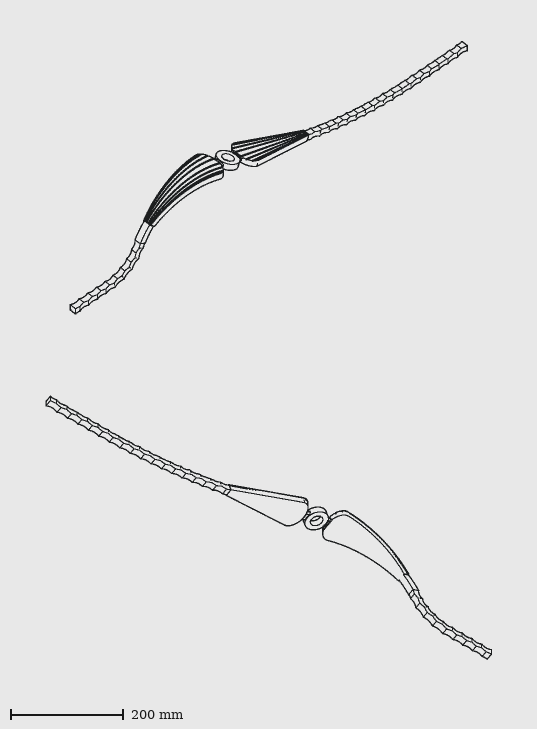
import cadquery as cq
import math

WIDTH = 63.8
LENGTH = 950.0
HEIGHT = 150.0
BAR = 14.0

RISE = HEIGHT - BAR
BACK_FLAT = 116.5
BACK_BEND_RADIUS = 830.0
SLOPE = math.radians(20.4)
CREST_RADIUS = 146.0
FOOT_RADIUS = 80.0
DESCENT = math.acos(1 - RISE / (CREST_RADIUS + FOOT_RADIUS))
SLOPE_LENGTH = (
    RISE - (BACK_BEND_RADIUS + CREST_RADIUS) * (1 - math.cos(SLOPE))
) / math.sin(SLOPE)
FRONT_FLAT = (
    LENGTH
    - BACK_FLAT
    - (BACK_BEND_RADIUS + CREST_RADIUS) * math.sin(SLOPE)
    - SLOPE_LENGTH * math.cos(SLOPE)
    - (CREST_RADIUS + FOOT_RADIUS) * math.sin(DESCENT)
)
CENTRELINE = [
    (BACK_FLAT, 0),
    (BACK_BEND_RADIUS * SLOPE, 1 / BACK_BEND_RADIUS),
    (SLOPE_LENGTH, 0),
    (CREST_RADIUS * (SLOPE + DESCENT), -1 / CREST_RADIUS),
    (FOOT_RADIUS * DESCENT, 1 / FOOT_RADIUS),
    (FRONT_FLAT, 0),
]
TOTAL_LENGTH = sum(length for length, _ in CENTRELINE)
SLOPE_START = BACK_FLAT + BACK_BEND_RADIUS * SLOPE

DENT_DEPTH = 1.6
BACK_TOP_PITCH = 18.1
BACK_PITCH = 22.4
FRONT_PITCH = 21.0
FIRST_CREST = 13.0
DENT_CUTTER_COVER = 1.0

RING_AT = SLOPE_START + 181.5
RING_DIAMETER = 44.0
RING_HOLE = 23.0
RING_THICKNESS = 13.0
NECK_WIDTH = 20.0
NECK_THICKNESS = 10.0
NECK_CHAMFER = 3.5
NECK_SINK = 8.0

LEAF_GAP = 26.0
BACK_LEAF_LENGTH = 176.0
BACK_LEAF_HALF = 30.0
BACK_BASE_ROUND = 23.0
FRONT_LEAF_LENGTH = 180.0
FRONT_LEAF_HALF = WIDTH / 2
FRONT_BASE_ROUND = 23.0
BACK_TIP_HALF = 7.5
FRONT_TIP_HALF = 9.0
GROOVE_SHARES = [0.22, 0.56, 0.85]
GROOVE_HALF_SHARE = 0.03
GROOVE_DEPTH = 2.0
EDGE_SHARE = 0.06
EDGE_DROP = 0.7
LEAF_STATIONS = 9
TIP_OVERRUN = 14.0

JOINT_OVERLAP = 0.5
SMOOTH_LENGTH = 37.0


def centreline_at(distance):
    """Y, Z and rise angle of the centreline at a distance from the back end."""
    y, z, angle = LENGTH / 2, BAR / 2, 0.0
    left = distance
    for length, curvature in CENTRELINE:
        step = min(left, length)
        if curvature:
            turned = angle + step * curvature
            y -= (math.sin(turned) - math.sin(angle)) / curvature
            z -= (math.cos(turned) - math.cos(angle)) / curvature
            angle = turned
        else:
            y -= step * math.cos(angle)
            z += step * math.sin(angle)
        left -= step
    return y, z, angle


def offset_point(distance, offset):
    """(Y, Z) at an offset along the upward normal of the centreline."""
    y, z, angle = centreline_at(distance)
    return y + offset * math.sin(angle), z + offset * math.cos(angle)


def face_frame_at(distance):
    """Plane along the bar: local X is world X, local Z is the upward normal."""
    y, z, angle = centreline_at(distance)
    return cq.Plane((0, y, z), (1, 0, 0), (0, math.sin(angle), math.cos(angle)))


def section_frame_at(distance):
    """Plane across the bar: local X is world X, local Y is the upward normal."""
    y, z, angle = centreline_at(distance)
    return cq.Plane((0, y, z), (1, 0, 0), (0, -math.cos(angle), math.sin(angle)))


def crests(start, end, first, pitch):
    """Distances of the dent crests, including both ends of the dented length."""
    count = int((end - first) // pitch) + 1
    inner = [first + index * pitch for index in range(count)]
    return [start] + inner + [end]


def dent_depth(span, pitch):
    """Sagitta of a dent shorter than the pitch, cut with the same radius."""
    return DENT_DEPTH * (span / pitch) ** 2


def dented_edge(outline, marks, pitch, side):
    """Continue a YZ outline through the dents of the top (1) or bottom (-1) face."""
    for here, there in zip(marks, marks[1:]):
        depth = dent_depth(abs(there - here), pitch)
        middle = offset_point((here + there) / 2, side * (BAR / 2 - depth))
        outline = outline.threePointArc(middle, offset_point(there, side * BAR / 2))
    return outline


def side_dents(marks, pitch, side):
    """Lens-shaped cutters for the dents of the +X (1) or -X (-1) face."""
    cutters = []
    for here, there in zip(marks, marks[1:]):
        half = (there - here) / 2
        depth = dent_depth(2 * half, pitch)
        face = side * BAR / 2
        lens = (
            cq.Workplane(face_frame_at((here + there) / 2))
            .moveTo(face, -half)
            .threePointArc((face - side * depth, 0), (face, half))
            .lineTo(face + side * DENT_CUTTER_COVER, half)
            .lineTo(face + side * DENT_CUTTER_COVER, -half)
            .close()
            .extrude(BAR, both=True)
        )
        cutters.append(lens.val())
    return cutters


def hammered_bar(start, end, top, bottom, left, right):
    """Square bar with dents; each face is given as (first crest, pitch)."""
    top_marks = crests(start, end, *top)
    bottom_marks = crests(start, end, *bottom)[::-1]
    outline = cq.Workplane("YZ").moveTo(*offset_point(start, BAR / 2))
    outline = dented_edge(outline, top_marks, top[1], 1)
    outline = outline.lineTo(*offset_point(end, -BAR / 2))
    outline = dented_edge(outline, bottom_marks, bottom[1], -1)
    bar = outline.close().extrude(BAR / 2, both=True)
    cutters = side_dents(crests(start, end, *left), left[1], -1)
    cutters += side_dents(crests(start, end, *right), right[1], 1)
    return cq.Workplane(bar.val().cut(*cutters))


def smooth_bar(start, end):
    """Plain square bar along one stretch of the centreline."""
    middle = (start + end) / 2
    return (
        cq.Workplane("YZ")
        .moveTo(*offset_point(start, BAR / 2))
        .threePointArc(offset_point(middle, BAR / 2), offset_point(end, BAR / 2))
        .lineTo(*offset_point(end, -BAR / 2))
        .threePointArc(offset_point(middle, -BAR / 2), offset_point(start, -BAR / 2))
        .close()
        .extrude(BAR / 2, both=True)
    )


def leaf_section(distance, half):
    """Flat-bottomed section whose flat top is parted into lobes by V grooves."""
    top = BAR / 2
    right = []
    for share in GROOVE_SHARES:
        right.append((half * (share - GROOVE_HALF_SHARE), top))
        right.append((half * share, top - GROOVE_DEPTH))
        right.append((half * (share + GROOVE_HALF_SHARE), top))
    right.append((half * (1 - EDGE_SHARE), top))
    right.append((half, top - EDGE_DROP))
    right.append((half, -top))
    left = [(-x, level) for x, level in reversed(right)]
    return cq.Workplane(section_frame_at(distance)).polyline(left + right).close().wires().val()


def leaf(base, tip, half, tip_half, base_round):
    """Lobed leaf widening from its tip to a rounded base beside the ring."""
    widest = base + math.copysign(base_round, tip - base)
    widening = (half - tip_half) / (widest - tip)
    sections = []
    for index in range(LEAF_STATIONS):
        distance = tip + (base - tip) * index / (LEAF_STATIONS - 1)
        sections.append(leaf_section(distance, tip_half + widening * (distance - tip)))
    body = cq.Workplane(cq.Solid.makeLoft(sections, False))

    y_base = centreline_at(base)[0]
    y_widest = centreline_at(widest)[0]
    y_tip = centreline_at(tip)[0]
    y_beyond = y_tip + math.copysign(TIP_OVERRUN, y_tip - y_base)
    rounded_base = (
        cq.Workplane("XY")
        .center(0, y_widest)
        .ellipse(half, abs(y_widest - y_base))
        .extrude(2 * HEIGHT)
    )
    outline = (
        cq.Workplane("XY")
        .center(0, (y_widest + y_beyond) / 2)
        .rect(2 * half, abs(y_widest - y_beyond))
        .extrude(2 * HEIGHT)
        .union(rounded_base)
    )
    return body.intersect(outline)


def ring_and_necks():
    """Pierced ring with a chamfered neck reaching into each leaf."""
    plane = face_frame_at(RING_AT)
    neck = (
        cq.Workplane(plane)
        .box(NECK_WIDTH, 2 * (LEAF_GAP + NECK_SINK), NECK_THICKNESS)
        .edges(cq.selectors.ParallelDirSelector(plane.yDir))
        .chamfer(NECK_CHAMFER)
    )
    disc = (
        cq.Workplane(plane)
        .circle(RING_DIAMETER / 2)
        .extrude(RING_THICKNESS / 2, both=True)
    )
    hole = cq.Workplane(plane).circle(RING_HOLE / 2).extrude(BAR, both=True)
    return neck.union(disc).cut(hole)


back_base = RING_AT - LEAF_GAP
back_tip = back_base - BACK_LEAF_LENGTH
front_base = RING_AT + LEAF_GAP
front_tip = front_base + FRONT_LEAF_LENGTH
front_dents = front_tip + SMOOTH_LENGTH

back_bar = hammered_bar(
    0,
    back_tip + JOINT_OVERLAP,
    top=(FIRST_CREST, BACK_TOP_PITCH),
    bottom=(FIRST_CREST + BACK_PITCH / 2, BACK_PITCH),
    left=(FIRST_CREST, BACK_PITCH),
    right=(FIRST_CREST + BACK_PITCH / 2, BACK_PITCH),
)
front_bar = hammered_bar(
    front_dents,
    TOTAL_LENGTH,
    top=(front_dents + FRONT_PITCH, FRONT_PITCH),
    bottom=(front_dents + FRONT_PITCH / 2, FRONT_PITCH),
    left=(front_dents + FRONT_PITCH, FRONT_PITCH),
    right=(front_dents + FRONT_PITCH / 2, FRONT_PITCH),
)

result = (
    leaf(back_base, back_tip, BACK_LEAF_HALF, BACK_TIP_HALF, BACK_BASE_ROUND)
    .union(ring_and_necks())
    .union(leaf(front_base, front_tip, FRONT_LEAF_HALF, FRONT_TIP_HALF, FRONT_BASE_ROUND))
    .union(back_bar)
    .union(smooth_bar(front_tip - JOINT_OVERLAP, front_dents + JOINT_OVERLAP))
    .union(front_bar)
)